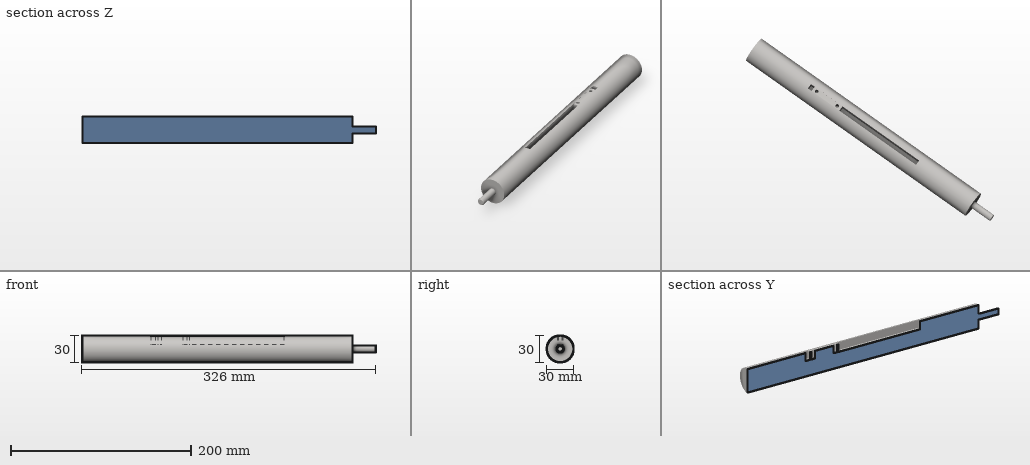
import cadquery as cq

bar_diameter = 30.0
bar_length = 300.0
bar_radius = bar_diameter / 2

pin_diameter = 8.0
pin_length = 26.0
pin_chamfer = 0.7

slot_length = 148.0
slot_width = 6.0
slot_depth = 10.0
slot_start = (bar_length - slot_length) / 2
slot_floor = bar_radius - slot_depth

block_length = 38.0
block_end_gap = 5.0
block_top_drop = 0.5
block_center = slot_start + block_end_gap + block_length / 2
block_top = bar_radius - block_top_drop

hole_diameter = 4.0
hole_spacing = 28.0
hole_depth = block_top - slot_floor


def make_bar():
    return cq.Workplane("YZ").circle(bar_radius).extrude(bar_length)


def make_pin():
    pin = cq.Workplane("YZ", origin=(bar_length, 0, 0)).circle(pin_diameter / 2).extrude(pin_length)
    return pin.faces(">X").chamfer(pin_chamfer)


def make_slot_cutter():
    return (
        cq.Workplane("XY", origin=(bar_length / 2, 0, slot_floor))
        .rect(slot_length, slot_width)
        .extrude(slot_depth)
    )


def make_block():
    return (
        cq.Workplane("XY", origin=(block_center, 0, slot_floor))
        .rect(block_length, slot_width)
        .extrude(block_top - slot_floor)
    )


def make_hole_cutters():
    half_spacing = hole_spacing / 2
    return (
        cq.Workplane("XY", origin=(block_center, 0, block_top))
        .pushPoints([(-half_spacing, 0), (half_spacing, 0)])
        .circle(hole_diameter / 2)
        .extrude(-hole_depth)
    )


slotted_bar = make_bar().union(make_pin()).cut(make_slot_cutter())
result = slotted_bar.union(make_block()).cut(make_hole_cutters())